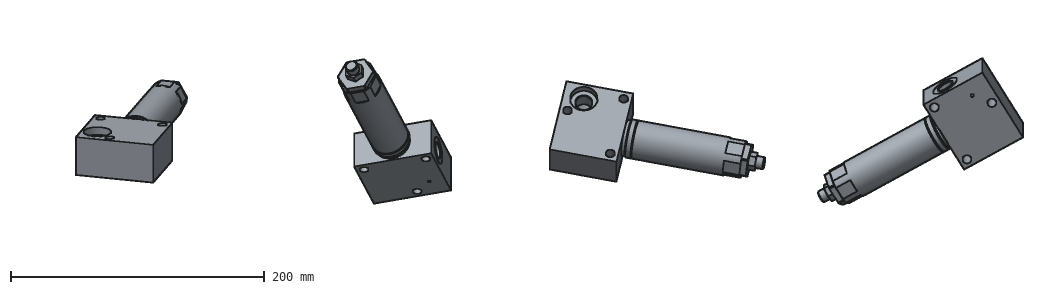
import cadquery as cq
import math


BLOCK_WIDTH = 63.5
BLOCK_LENGTH = 53.9
BLOCK_HEIGHT = 31.8

MOUNT_DIAMETER = 7.0
REAR_MOUNT_X = 25.5
REAR_MOUNT_Y = 47.5
FRONT_MOUNT_X = -5.8
FRONT_MOUNT_Y = 6.5

SPOTFACE_DIAMETER = 21.6
PORT_DIAMETER = 13.6
PORT_CHAMFER = 0.5
PORT_BORE_DEPTH = 13.3
DRILL_POINT_ANGLE = 118

TOP_PORT_X = -19.0
TOP_PORT_Y = 16.8
TOP_SPOTFACE_DEPTH = 6.3
TOP_DRILLING_DIAMETER = 2.3

SIDE_PORT_Y = 34.1
SIDE_SPOTFACE_DEPTH = 0.2
SIDE_DRILLING_DIAMETER = 5.3

COLLAR_CHAMFER_START = 56.5
COLLAR_START = 57.5
GROOVE_START = 61.5
GROOVE_END = 62.5
FLATS_START = 136.0
TUBE_END = 149.3
LOCK_HEX_END = 154.3
NUT_END = 159.8
STUD_END = 166.3

NECK_DIAMETER = 28.8
TUBE_DIAMETER = 30.8
GROOVE_DEPTH = 0.2
TUBE_ACROSS_FLATS = 28.8
SIDE_FLAT_TILT = 25.8
LOCK_HEX_ACROSS_FLATS = 25.6
LOCK_HEX_DIAMETER = 29.0
NUT_ACROSS_FLATS = 12.6
STUD_DIAMETER = 9.8
STUD_CHAMFER = 0.7


def section_at(y):
    """Workplane normal to the cartridge axis at station y, extruding towards +Y."""
    return cq.Workplane("XZ", origin=(0, y, 0)).transformed(rotate=(180, 0, 0))


def cylinder(diameter, start, end):
    return section_at(start).circle(diameter / 2).extrude(end - start)


def hexagon(across_flats, start, end, turn=0):
    """Hexagonal prism with corners on +-X, turned about the cartridge axis by `turn` degrees."""
    across_corners = across_flats / math.cos(math.pi / 6)
    prism = section_at(start).polygon(6, across_corners).extrude(end - start)
    return prism.rotate((0, 0, 0), (0, 1, 0), turn)


def port_cutter(spotface_depth, drilling_diameter, drilling_depth):
    """Revolved port tool with its mouth at Z = 0, cutting towards -Z."""
    radius = PORT_DIAMETER / 2
    thread_radius = radius - PORT_CHAMFER
    drilling_radius = drilling_diameter / 2
    bore_end = spotface_depth + PORT_BORE_DEPTH
    half_angle = math.radians(DRILL_POINT_ANGLE / 2)
    point_depth = (thread_radius - drilling_radius) / math.tan(half_angle)
    return (
        cq.Workplane("XZ")
        .moveTo(0, 0)
        .lineTo(SPOTFACE_DIAMETER / 2, 0)
        .lineTo(SPOTFACE_DIAMETER / 2, -spotface_depth)
        .lineTo(radius, -spotface_depth)
        .lineTo(thread_radius, -spotface_depth - PORT_CHAMFER)
        .lineTo(thread_radius, -bore_end)
        .lineTo(drilling_radius, -bore_end - point_depth)
        .lineTo(drilling_radius, -drilling_depth)
        .lineTo(0, -drilling_depth)
        .close()
        .revolve(360, (0, 0, 0), (0, 1, 0))
    )


def make_block():
    block = cq.Workplane("XY").box(
        BLOCK_WIDTH, BLOCK_LENGTH, BLOCK_HEIGHT, centered=(True, False, True)
    )
    mount_points = [
        (-REAR_MOUNT_X, REAR_MOUNT_Y),
        (REAR_MOUNT_X, REAR_MOUNT_Y),
        (FRONT_MOUNT_X, FRONT_MOUNT_Y),
    ]
    mounts = (
        cq.Workplane("XY")
        .pushPoints(mount_points)
        .circle(MOUNT_DIAMETER / 2)
        .extrude(BLOCK_HEIGHT, both=True)
    )
    top_port = port_cutter(TOP_SPOTFACE_DEPTH, TOP_DRILLING_DIAMETER, BLOCK_HEIGHT)
    top_port = top_port.translate((TOP_PORT_X, TOP_PORT_Y, BLOCK_HEIGHT / 2))
    side_port = port_cutter(SIDE_SPOTFACE_DEPTH, SIDE_DRILLING_DIAMETER, BLOCK_WIDTH / 2)
    side_port = side_port.rotate((0, 0, 0), (0, 1, 0), -90)
    side_port = side_port.translate((-BLOCK_WIDTH / 2, SIDE_PORT_Y, 0))
    return block.cut(mounts).cut(top_port).cut(side_port)


def make_tube():
    """Neck, chamfered collar, shallow groove and tube, with wrench flats at the far end."""
    neck_radius = NECK_DIAMETER / 2
    tube_radius = TUBE_DIAMETER / 2
    groove_radius = tube_radius - GROOVE_DEPTH
    tube = (
        cq.Workplane("XY")
        .moveTo(0, BLOCK_LENGTH)
        .lineTo(neck_radius, BLOCK_LENGTH)
        .lineTo(neck_radius, COLLAR_CHAMFER_START)
        .lineTo(tube_radius, COLLAR_START)
        .lineTo(tube_radius, GROOVE_START)
        .lineTo(groove_radius, GROOVE_START)
        .lineTo(groove_radius, GROOVE_END)
        .lineTo(tube_radius, GROOVE_END)
        .lineTo(tube_radius, TUBE_END)
        .lineTo(0, TUBE_END)
        .close()
        .revolve(360, (0, 0, 0), (0, 1, 0))
    )
    for tilt in (90, SIDE_FLAT_TILT, -SIDE_FLAT_TILT):
        slab = cq.Workplane("XY").box(
            TUBE_ACROSS_FLATS, 2 * TUBE_END, 2 * TUBE_DIAMETER
        ).rotate((0, 0, 0), (0, 1, 0), tilt)
        outside_slab = cylinder(2 * TUBE_DIAMETER, FLATS_START, TUBE_END).cut(slab)
        tube = tube.cut(outside_slab)
    return tube


def make_adjuster():
    """Lock hexagon with turned corners, small nut and chamfered stud."""
    lock_hex = hexagon(LOCK_HEX_ACROSS_FLATS, TUBE_END, LOCK_HEX_END).intersect(
        cylinder(LOCK_HEX_DIAMETER, TUBE_END, LOCK_HEX_END)
    )
    nut = hexagon(NUT_ACROSS_FLATS, LOCK_HEX_END, NUT_END, turn=30)
    stud = cylinder(STUD_DIAMETER, NUT_END, STUD_END).faces(">Y").chamfer(STUD_CHAMFER)
    return lock_hex.union(nut).union(stud)


result = make_block().union(make_tube()).union(make_adjuster())